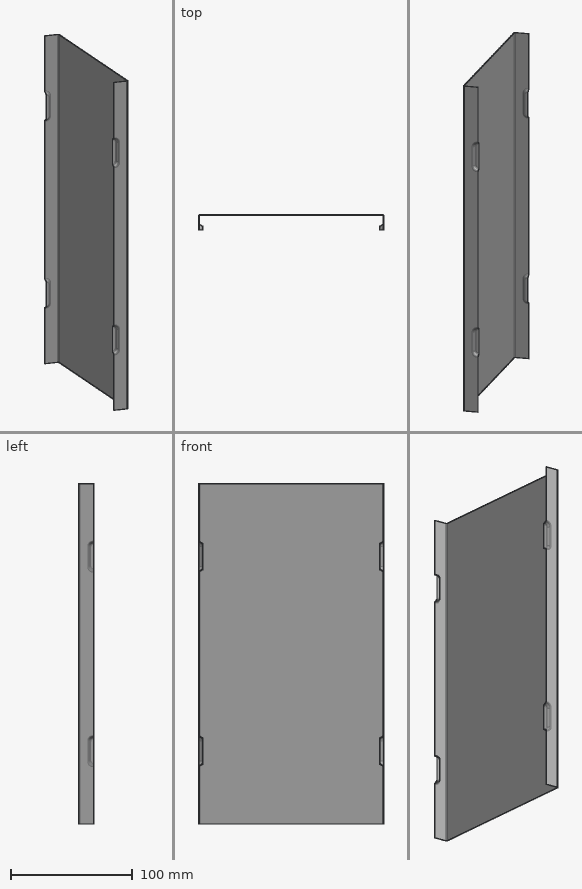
import cadquery as cq
import math

width = 152.3
depth = 12.5
height = 280.0

sheet = 0.62
tray_bend_outer = 1.0
tray_bend_inner = tray_bend_outer - sheet

dent_spacing = 160.0
dent_length = 24.5
dent_reach = 4.5
dent_total_offset = 3.5
dent_offset = dent_total_offset - sheet
dent_draft = 30.0
dent_corner = 4.0
dent_bend_inner = 0.22
dent_bend_outer = dent_bend_inner + sheet

draft_angle = math.radians(dent_draft)
wall_growth = sheet * (1 - math.sin(draft_angle)) / math.cos(draft_angle)

free_edge_y = -depth / 2
outer_face_x = -width / 2
inner_face_x = outer_face_x + sheet
dent_heights = (-dent_spacing / 2, dent_spacing / 2)
selection_margin = 0.03


def make_channel():
    """U-shaped sheet: a back plate with two flanges pointing to -Y."""
    outer = cq.Workplane("XY").box(width, depth, height)
    outer = outer.edges("|Z and >Y").fillet(tray_bend_outer)
    inner = cq.Workplane("XY").box(width - 2 * sheet, depth, height)
    inner = inner.edges("|Z and >Y").fillet(tray_bend_inner)
    return outer.cut(inner.translate((0, -sheet, 0)))


def make_dent_block(start_x, growth, floor_bend):
    """Drafted block with a rounded floor, cut flat at the free edge and centred on Z = 0."""
    outline = cq.Sketch().rect(2 * (dent_reach + growth), dent_length + 2 * growth)
    outline = outline.vertices().fillet(dent_corner + growth)
    block = (
        cq.Workplane("YZ", origin=(start_x, free_edge_y, 0))
        .placeSketch(outline)
        .extrude(dent_offset, taper=dent_draft)
    )
    block = block.faces(">X").edges().fillet(floor_bend)
    beyond_edge = cq.Workplane("XY").box(width, depth, height).translate((0, -depth, 0))
    return block.cut(beyond_edge)


def round_dent_rim(body, face_x, z_centre, radius):
    """Bend radius where a dent leaves the flange face lying at face_x."""
    rim = cq.selectors.BoxSelector(
        (face_x - selection_margin, free_edge_y - selection_margin, z_centre - dent_length),
        (face_x + selection_margin, free_edge_y + 2 * dent_reach, z_centre + dent_length),
        boundingbox=True,
    )
    free_edge = cq.selectors.BoxSelector(
        (face_x - selection_margin, free_edge_y - selection_margin, -height),
        (face_x + selection_margin, free_edge_y + selection_margin, height),
        boundingbox=True,
    )
    return body.edges(rim - free_edge).fillet(radius)


def press_dents(body):
    """Form the dents in the -X flange, keeping the sheet thickness."""
    raised = make_dent_block(inner_face_x, wall_growth, dent_bend_outer)
    hollow = make_dent_block(outer_face_x, 0, dent_bend_inner)
    for z_centre in dent_heights:
        body = body.union(raised.translate((0, 0, z_centre)))
        body = body.cut(hollow.translate((0, 0, z_centre)))
        body = round_dent_rim(body, outer_face_x, z_centre, dent_bend_outer)
        body = round_dent_rim(body, inner_face_x, z_centre, dent_bend_inner)
    return body


left_region = cq.Workplane("XY").box(width / 2, depth, height).translate((-width / 4, 0, 0))
left_half = press_dents(make_channel()).intersect(left_region)
result = left_half.union(left_half.mirror("YZ")).clean()